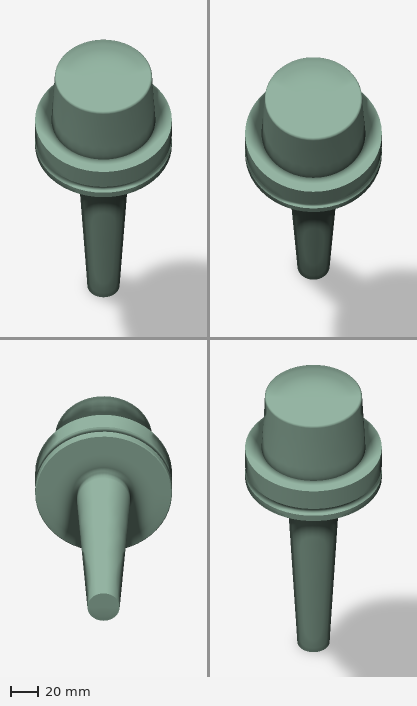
import cadquery as cq
import math

shank_height = 50.0
flange_thickness = 29.0
overall_length = 235.0
nose_tip_z = shank_height - overall_length

shank_base_radius = 38.0
shank_diameter_taper = 1 / 10
shank_top_radius = shank_base_radius - shank_height * shank_diameter_taper / 2
shank_top_fillet = 2.0

flange_radius = 50.0
flange_edge_chamfer = 0.7
groove_centre_z = -20.0
groove_mouth_width = 6.5
groove_depth = 3.6
groove_wall_angle = math.radians(25)
groove_root_fillet = 1.0

neck_end_z = -38.3
neck_fillet = 3.0
nose_tip_radius = 11.8
nose_half_angle = math.radians(3)
neck_radius = nose_tip_radius + (neck_end_z - nose_tip_z) * math.tan(nose_half_angle)


def turn(profile):
    """Revolve a half-profile, drawn as (radius, Z), around the Z axis."""
    return profile.close().revolve(360, (0, 0, 0), (0, 1, 0))


def half_profile():
    """Start a (radius, Z) profile on the Y side of the axis."""
    return cq.Workplane("YZ")


def make_shank():
    """Conical shank with a rounded top edge."""
    cone = turn(
        half_profile()
        .lineTo(shank_base_radius, 0)
        .lineTo(shank_top_radius, shank_height)
        .lineTo(0, shank_height)
    )
    return cone.faces(">Z").edges().fillet(shank_top_fillet)


def make_flange():
    """Disc with a chamfered lower rim."""
    disc = turn(
        half_profile()
        .lineTo(flange_radius, 0)
        .lineTo(flange_radius, -flange_thickness)
        .lineTo(0, -flange_thickness)
    )
    return disc.faces("<Z").edges().chamfer(flange_edge_chamfer)


def make_groove_cutter():
    """Ring that cuts the V groove, its flat root blended into both walls."""
    root_radius = flange_radius - groove_depth
    mouth_half = groove_mouth_width / 2
    root_half = mouth_half - groove_depth * math.tan(groove_wall_angle)
    ring = turn(
        half_profile()
        .moveTo(flange_radius, groove_centre_z + mouth_half)
        .lineTo(root_radius, groove_centre_z + root_half)
        .lineTo(root_radius, groove_centre_z - root_half)
        .lineTo(flange_radius, groove_centre_z - mouth_half)
    )
    root_edges = ring.edges(cq.selectors.RadiusNthSelector(0))
    return root_edges.fillet(groove_root_fillet)


def make_nose():
    """Cylindrical neck below the flange, continuing as a long cone to the tip."""
    return turn(
        half_profile()
        .moveTo(0, -flange_thickness)
        .lineTo(neck_radius, -flange_thickness)
        .lineTo(neck_radius, neck_end_z)
        .lineTo(nose_tip_radius, nose_tip_z)
        .lineTo(0, nose_tip_z)
    )


def make_neck_fillet():
    """Concave ring that blends the neck into the flange underside."""
    outer_radius = neck_radius + neck_fillet
    lower_z = -flange_thickness - neck_fillet
    arc_offset = neck_fillet * (1 - math.cos(math.radians(45)))
    return turn(
        half_profile()
        .moveTo(0, -flange_thickness)
        .lineTo(outer_radius, -flange_thickness)
        .threePointArc(
            (neck_radius + arc_offset, -flange_thickness - arc_offset),
            (neck_radius, lower_z),
        )
        .lineTo(0, lower_z)
    )


result = (
    make_flange()
    .cut(make_groove_cutter())
    .union(make_shank())
    .union(make_neck_fillet())
    .union(make_nose())
)